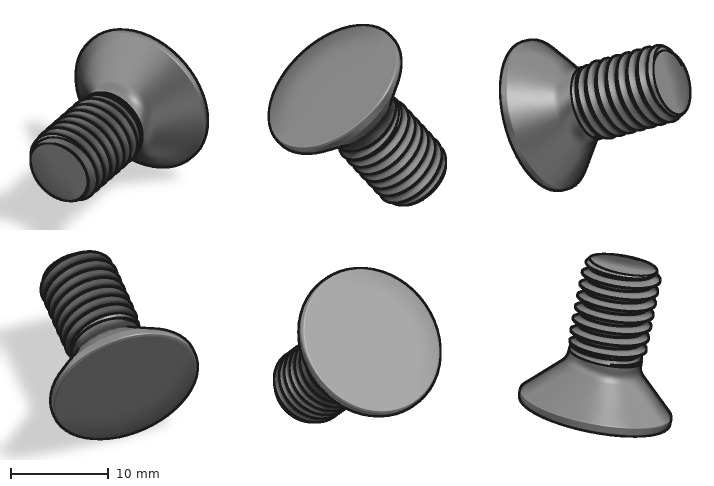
import cadquery as cq
import math


length = 16.0
head_radius = 7.9
top_edge_radius = 0.32
rim_edge_radius = 0.24
rim_sharp_depth = 0.93
cone_angle = math.radians(45)

neck_radius = 3.8
neck_fillet = 2.0
neck_end = 6.16
neck_taper = 0.56

pitch = 1.25
core_radius = neck_radius - neck_taper
crest_radius = 4.03
crest_width = 0.1
root_width = 0.1
crest_depth = 15.02
turns_above_last_crest = 8
turns = 10
root_overlap = 0.06

runout_radius = 3.58
runout_end = 7.52
tip_radius = 3.5
tip_taper = 0.9


def make_head():
    """Revolve the head and neck: rounded rim, 45 degree cone, and a concave neck fillet."""
    fillet_drop = neck_fillet * math.sin(cone_angle)
    fillet_spread = neck_fillet * (1 - math.cos(cone_angle))
    cone_end_radius = neck_radius + fillet_spread
    cone_end = rim_sharp_depth + (head_radius - cone_end_radius) / math.tan(cone_angle)
    fillet_mid = (
        neck_radius + neck_fillet * (1 - math.cos(cone_angle / 2)),
        cone_end + fillet_drop - neck_fillet * math.sin(cone_angle / 2),
    )
    setback = rim_edge_radius * math.tan(cone_angle / 2)
    rim_arc_end = (
        head_radius - setback * math.sin(cone_angle),
        rim_sharp_depth + setback * math.cos(cone_angle),
    )
    rim_arc_start = rim_sharp_depth - setback
    rim_arc_mid = (
        head_radius - rim_edge_radius * (1 - math.cos(cone_angle / 2)),
        rim_arc_start + rim_edge_radius * math.sin(cone_angle / 2),
    )
    top_arc_mid_inset = top_edge_radius * (1 - math.sqrt(0.5))
    return (
        cq.Workplane("XZ")
        .lineTo(head_radius - top_edge_radius, 0)
        .threePointArc(
            (head_radius - top_arc_mid_inset, top_arc_mid_inset),
            (head_radius, top_edge_radius),
        )
        .lineTo(head_radius, rim_arc_start)
        .threePointArc(rim_arc_mid, rim_arc_end)
        .lineTo(cone_end_radius, cone_end)
        .threePointArc(fillet_mid, (neck_radius, cone_end + fillet_drop))
        .lineTo(neck_radius, neck_end)
        .lineTo(neck_radius - neck_taper, neck_end + neck_taper)
        .lineTo(0, neck_end + neck_taper)
        .close()
        .revolve(360, (0, 0), (0, 1))
    )


def make_ridge():
    """Sweep the trapezoidal thread ridge along a right-handed helix."""
    start = crest_depth - turns_above_last_crest * pitch
    half_crest = crest_width / 2
    half_root = (pitch - root_width) / 2
    inner_radius = core_radius - root_overlap
    flank_slope = (half_root - half_crest) / (crest_radius - core_radius)
    half_inner = half_root + root_overlap * flank_slope
    helix = cq.Wire.makeHelix(pitch, turns * pitch, core_radius).translate(cq.Vector(0, 0, start))
    section = cq.Workplane("XZ").polyline([
        (inner_radius, start - half_inner),
        (crest_radius, start - half_crest),
        (crest_radius, start + half_crest),
        (inner_radius, start + half_inner),
    ]).close()
    return section.sweep(cq.Workplane(obj=helix), isFrenet=True)


def make_thread_envelope():
    """Revolve the space the thread may fill, tapered at the neck and at the tip."""
    outer = crest_radius + root_overlap
    return (
        cq.Workplane("XZ")
        .polyline([
            (0, neck_end),
            (runout_radius, neck_end),
            (outer, runout_end),
            (outer, length - tip_taper),
            (tip_radius, length),
            (0, length),
        ])
        .close()
        .revolve(360, (0, 0), (0, 1))
    )


core = cq.Workplane("XY").workplane(offset=neck_end).circle(core_radius).extrude(length - neck_end)
thread = make_ridge().intersect(make_thread_envelope())
screw = make_head().union(core).union(thread)

result = screw.rotate((0, 0, 0), (1, 0, 0), 90)